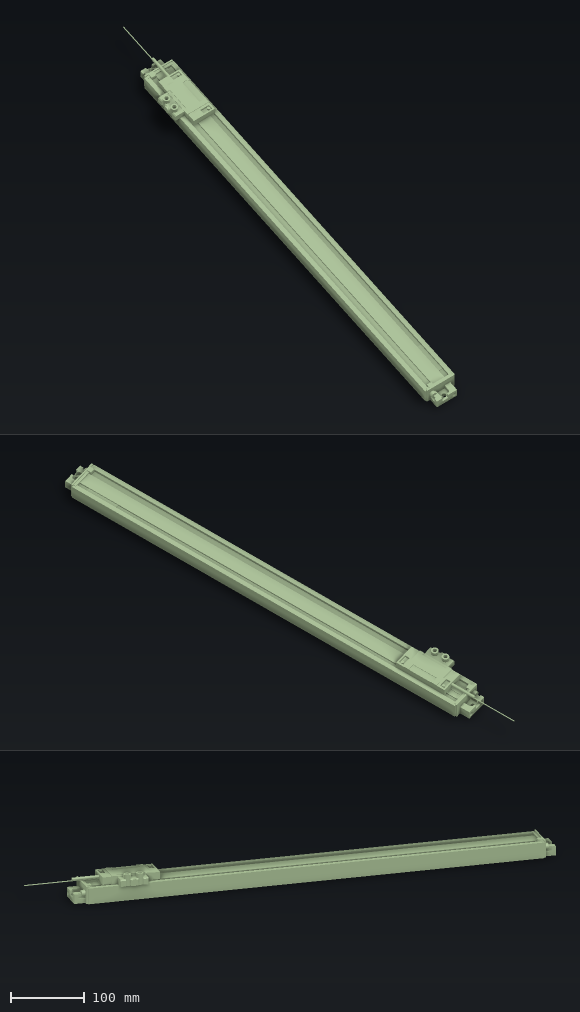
import cadquery as cq

RAIL_START = 83.0
RAIL_END = 732.0
RAIL_HALF_WIDTH = 25.0
RAIL_HEIGHT = 22.5
RAIL_MIDDLE = (RAIL_START + RAIL_END) / 2

LEDGE_HALF_WIDTH = 18.0
LEDGE_DEPTH = 4.0
BED_FRONT = -9.0
BED_BACK = 11.0
BED_DEPTH = 1.5

RECESS_START = 91.0
RECESS_END = 106.0
RECESS_FRONT = 3.0
RECESS_DEPTH = 1.0

STRIP_START = 664.0
STRIP_END = 713.0
STRIP_THICKNESS = 1.0

PLATE_THICKNESS = 2.0
PLATE_HALF_WIDTH = 23.0
PLATE_HEIGHT = 25.0
PLUG_LENGTH = 4.0
PLUG_HALF_WIDTH = 21.0
PLUG_BOTTOM = RAIL_HEIGHT - LEDGE_DEPTH
PLUG_TOP = 23.0
CLIP_LENGTH = 7.0
CLIP_FRONT = -17.0
CLIP_BACK = -10.0

FOOT_LENGTH = 16.0
FOOT_FRONT = -18.0
FOOT_BACK = 16.0
FOOT_HEIGHT = 13.5
FOOT_MIDDLE = (FOOT_FRONT + FOOT_BACK) / 2
POCKET_WIDTH = 15.0
POCKET_END_WALL = 3.0
POCKET_CORNER = 4.0
POCKET_FLOOR = 7.0
BOLT_HOLE_INSET = 7.0
BOLT_HOLE_DIAMETER = 7.0
OPENING_FRONT = -9.0
OPENING_BACK = 1.0
SIDE_STEP_DEPTH = 2.0
SIDE_STEP_INSET = 6.0
SOCKET_Y = 11.0
SOCKET_Z = 6.0
SOCKET_DIAMETER = 7.0
SCREW_Y = -15.0
SCREW_Z = 13.5
SCREW_DIAMETER = 9.0
SCREW_HEAD_LENGTH = 5.0

SLIDER_START = 106.0
SLIDER_LENGTH = 82.0
SLIDER_END = SLIDER_START + SLIDER_LENGTH
SLIDER_MIDDLE = SLIDER_START + SLIDER_LENGTH / 2
SLIDER_HALF_WIDTH = 18.0
SLIDER_BOTTOM = 23.0
SLIDER_TOP = 34.5
END_CAP_LENGTH = 13.5
END_CAP_DROP = 1.0
END_CAP_SETBACK = 1.0
PANEL_LENGTH = 40.0
PANEL_DEPTH = 1.0
PANEL_CORNER = 2.0
REAR_PANEL_WIDTH = 10.5
FRONT_PANEL_WIDTH = 4.5
CAP_POCKET_DEPTH = 3.0
CAP_POCKET_LENGTH = 7.5
CAP_POCKET_FRONT = 1.0
CAP_POCKET_BACK = 15.0
CAP_SCREW_INSET = 6.0
CAP_SCREW_Y = 12.0
CAP_SCREW_DIAMETER = 4.5

BRACKET_FRONT = -33.0
BRACKET_BOTTOM = 23.0
BRACKET_HEIGHT = 10.0
BRACKET_CHAMFER = 1.5
BRACKET_NOTCH_WIDTH = 7.0
BRACKET_NOTCH_DEPTH = 3.0
POST_SPACING = 18.0
POST_Y = -27.0
POST_DIAMETER = 10.5
POST_TOP = 39.0
POST_BORE = 6.0
STUD_DIAMETER = 10.0
STUD_FRONT = -34.5

CABLE_DIAMETER = 1.5
CABLE_Y = 1.0
CABLE_Z = 27.0
SLEEVE_START = 67.5
SLEEVE_DIAMETER = 4.5
SLEEVE_Z = 29.0


def box(x_range, y_range, z_range):
    """Box between the given low and high limits on each axis."""
    (x0, x1), (y0, y1), (z0, z1) = x_range, y_range, z_range
    return cq.Workplane("XY").box(x1 - x0, y1 - y0, z1 - z0, centered=False).translate((x0, y0, z0))


def rod_along_x(diameter, x_start, length, y, z):
    return cq.Workplane("YZ", origin=(x_start, y, z)).circle(diameter / 2).extrude(length)


def post(diameter, x, y, z_bottom, z_top):
    return cq.Workplane("XY", origin=(x, y, z_bottom)).circle(diameter / 2).extrude(z_top - z_bottom)


def rail_profile():
    """Extruded rail with the ledges and the central bed along its top."""
    ledge_z = RAIL_HEIGHT - LEDGE_DEPTH
    bed_z = RAIL_HEIGHT - BED_DEPTH
    outline = [
        (-RAIL_HALF_WIDTH, 0),
        (RAIL_HALF_WIDTH, 0),
        (RAIL_HALF_WIDTH, RAIL_HEIGHT),
        (LEDGE_HALF_WIDTH, RAIL_HEIGHT),
        (LEDGE_HALF_WIDTH, ledge_z),
        (BED_BACK, ledge_z),
        (BED_BACK, bed_z),
        (BED_FRONT, bed_z),
        (BED_FRONT, ledge_z),
        (-LEDGE_HALF_WIDTH, ledge_z),
        (-LEDGE_HALF_WIDTH, RAIL_HEIGHT),
        (-RAIL_HALF_WIDTH, RAIL_HEIGHT),
    ]
    profile = cq.Workplane("YZ", origin=(RAIL_START, 0, 0)).polyline(outline).close()
    return profile.extrude(RAIL_END - RAIL_START)


def bed_recess():
    bed_z = RAIL_HEIGHT - BED_DEPTH
    return box((RECESS_START, RECESS_END), (RECESS_FRONT, BED_BACK), (bed_z - RECESS_DEPTH, bed_z))


def ledge_strip():
    ledge_z = RAIL_HEIGHT - LEDGE_DEPTH
    return box((STRIP_START, STRIP_END), (BED_BACK, LEDGE_HALF_WIDTH), (ledge_z, ledge_z + STRIP_THICKNESS))


def mounting_foot(plate_face):
    """Foot reaching outward (-X) from the end plate, with a pocket for its bolt."""
    outer_face = plate_face - FOOT_LENGTH
    foot = box((outer_face, plate_face), (FOOT_FRONT, FOOT_BACK), (0, FOOT_HEIGHT))

    pocket_y = (FOOT_MIDDLE - POCKET_WIDTH / 2, FOOT_MIDDLE + POCKET_WIDTH / 2)
    pocket = box((outer_face + POCKET_END_WALL, plate_face), pocket_y, (POCKET_FLOOR, FOOT_HEIGHT))
    foot = foot.cut(pocket.edges("|Z and <X").fillet(POCKET_CORNER))

    end_opening = box(
        (outer_face, outer_face + POCKET_END_WALL),
        (OPENING_FRONT, OPENING_BACK),
        (POCKET_FLOOR, FOOT_HEIGHT),
    )
    side_step = box(
        (outer_face + SIDE_STEP_INSET, plate_face),
        (FOOT_FRONT, FOOT_FRONT + SIDE_STEP_DEPTH),
        (POCKET_FLOOR, FOOT_HEIGHT),
    )
    bolt_hole = post(BOLT_HOLE_DIAMETER, outer_face + BOLT_HOLE_INSET, FOOT_MIDDLE, 0, POCKET_FLOOR)
    socket = rod_along_x(SOCKET_DIAMETER, outer_face, FOOT_LENGTH, SOCKET_Y, SOCKET_Z)
    return foot.cut(end_opening).cut(side_step).cut(bolt_hole).cut(socket)


def rail_end():
    """End plate, plug, clip, foot and screw head at the low-X end of the rail."""
    plate_face = RAIL_START - PLATE_THICKNESS
    plate = box((plate_face, RAIL_START), (-PLATE_HALF_WIDTH, PLATE_HALF_WIDTH), (0, PLATE_HEIGHT))
    plug = box(
        (RAIL_START, RAIL_START + PLUG_LENGTH),
        (-PLUG_HALF_WIDTH, PLUG_HALF_WIDTH),
        (PLUG_BOTTOM, PLUG_TOP),
    )
    clip = box(
        (RAIL_START, RAIL_START + CLIP_LENGTH),
        (CLIP_FRONT, CLIP_BACK),
        (RAIL_HEIGHT - LEDGE_DEPTH, PLATE_HEIGHT),
    )
    screw_start = plate_face - SCREW_HEAD_LENGTH
    screw_head = rod_along_x(SCREW_DIAMETER, screw_start, SCREW_HEAD_LENGTH, SCREW_Y, SCREW_Z)
    return plate.union(plug).union(clip).union(mounting_foot(plate_face)).union(screw_head)


def make_rail():
    near_end = rail_end()
    far_end = near_end.mirror("YZ", (RAIL_MIDDLE, 0, 0))
    return rail_profile().cut(bed_recess()).union(ledge_strip()).union(near_end).union(far_end)


def slider_block():
    """Slider body with lower, set-back end caps and two shallow panels in its top."""
    width = (-SLIDER_HALF_WIDTH, SLIDER_HALF_WIDTH)
    block = box((SLIDER_START, SLIDER_END), width, (SLIDER_BOTTOM, SLIDER_TOP))

    panel_x = (SLIDER_MIDDLE - PANEL_LENGTH / 2, SLIDER_MIDDLE + PANEL_LENGTH / 2)
    panel_z = (SLIDER_TOP - PANEL_DEPTH, SLIDER_TOP)
    rear_panel = box(panel_x, (SLIDER_HALF_WIDTH - REAR_PANEL_WIDTH, SLIDER_HALF_WIDTH), panel_z)
    front_panel = box(panel_x, (-SLIDER_HALF_WIDTH, FRONT_PANEL_WIDTH - SLIDER_HALF_WIDTH), panel_z)
    block = block.cut(rear_panel.edges("|Z and >Y").chamfer(PANEL_CORNER)).cut(front_panel)

    cap_top = SLIDER_TOP - END_CAP_DROP
    cap = box((SLIDER_START, SLIDER_START + END_CAP_LENGTH), width, (cap_top, SLIDER_TOP))
    cap_front = box(
        (SLIDER_START, SLIDER_START + END_CAP_LENGTH),
        (-SLIDER_HALF_WIDTH, END_CAP_SETBACK - SLIDER_HALF_WIDTH),
        (SLIDER_BOTTOM, SLIDER_TOP),
    )
    pocket_x = SLIDER_START + CAP_SCREW_INSET - CAP_POCKET_LENGTH / 2
    pocket = box(
        (pocket_x, pocket_x + CAP_POCKET_LENGTH),
        (CAP_POCKET_FRONT, CAP_POCKET_BACK),
        (cap_top - CAP_POCKET_DEPTH, cap_top),
    )
    cap_screw = post(
        CAP_SCREW_DIAMETER,
        SLIDER_START + CAP_SCREW_INSET,
        CAP_SCREW_Y,
        cap_top - CAP_POCKET_DEPTH,
        cap_top,
    )
    cap_cut = cap.union(cap_front).union(pocket).cut(cap_screw)
    return block.cut(cap_cut).cut(cap_cut.mirror("YZ", (SLIDER_MIDDLE, 0, 0)))


def clamp_bracket():
    """Bracket with two bored posts and a round stud between them."""
    bracket_top = BRACKET_BOTTOM + BRACKET_HEIGHT
    bracket = box(
        (SLIDER_MIDDLE - PANEL_LENGTH / 2, SLIDER_MIDDLE + PANEL_LENGTH / 2),
        (BRACKET_FRONT, -SLIDER_HALF_WIDTH),
        (BRACKET_BOTTOM, bracket_top),
    )
    bracket = bracket.edges("<Y and >Z").chamfer(BRACKET_CHAMFER)
    post_places = [SLIDER_MIDDLE - POST_SPACING / 2, SLIDER_MIDDLE + POST_SPACING / 2]
    for x in post_places:
        notch = box(
            (x - BRACKET_NOTCH_WIDTH / 2, x + BRACKET_NOTCH_WIDTH / 2),
            (BRACKET_FRONT, BRACKET_FRONT + BRACKET_NOTCH_DEPTH),
            (BRACKET_BOTTOM, bracket_top),
        )
        bracket = bracket.cut(notch).union(post(POST_DIAMETER, x, POST_Y, BRACKET_BOTTOM, POST_TOP))
    stud_z = BRACKET_BOTTOM + STUD_DIAMETER / 2
    stud = (
        cq.Workplane("XZ", origin=(SLIDER_MIDDLE, -SLIDER_HALF_WIDTH, stud_z))
        .circle(STUD_DIAMETER / 2)
        .extrude(-SLIDER_HALF_WIDTH - STUD_FRONT)
    )
    bracket = bracket.union(stud)
    for x in post_places:
        bracket = bracket.cut(post(POST_BORE, x, POST_Y, BRACKET_BOTTOM, POST_TOP))
    return bracket


def cable_with_sleeve():
    """Cable running along the underside of a short round sleeve into the slider."""
    sleeve_length = SLIDER_START - SLEEVE_START
    sleeve = rod_along_x(SLEEVE_DIAMETER, SLEEVE_START, sleeve_length, CABLE_Y, SLEEVE_Z)
    return sleeve.union(rod_along_x(CABLE_DIAMETER, 0, SLIDER_START, CABLE_Y, CABLE_Z))


def make_slider():
    return slider_block().union(clamp_bracket()).union(cable_with_sleeve())


rail = make_rail()
slider = make_slider()

result = cq.Compound.makeCompound([rail.val(), slider.val()])